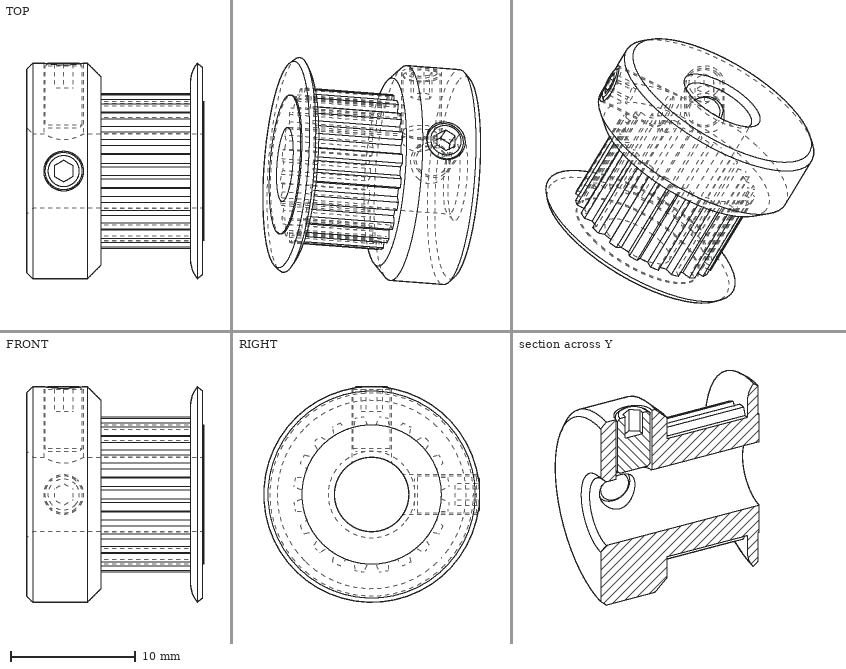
import cadquery as cq
import math

outer_radius = 8.7
total_length = 14.3

hub_length = 6.0
hub_outer_chamfer = 0.5
hub_inner_chamfer = 1.1

bore_radius = 3.0
bore_chamfer = 0.5

tooth_count = 20
tip_radius = 6.28
root_radius = 5.62
groove_mouth_width = 1.25
groove_floor_width = 0.7

flange_start = 13.2
flange_rim_x = 13.76
flange_end = 14.2
flange_flat_radius = 7.13
flange_back_radius = 8.35

screw_x = 3.0
screw_hole_radius = 1.6
screw_radius = 1.5
screw_length = 5.24
screw_chamfer = 0.25
hex_across_flats = 1.51
hex_depth = 2.0
screw_angles = (0, -90)


def make_pulley_blank():
    rise = outer_radius - flange_flat_radius
    sweep = flange_rim_x - flange_start
    arc_radius = (rise**2 + sweep**2) / (2 * sweep)
    half_angle = math.asin(rise / arc_radius) / 2
    arc_middle = (
        flange_start + arc_radius * (1 - math.cos(half_angle)),
        flange_flat_radius + arc_radius * math.sin(half_angle),
    )
    return (
        cq.Workplane("XY")
        .moveTo(bore_chamfer, bore_radius)
        .lineTo(0, bore_radius + bore_chamfer)
        .lineTo(0, outer_radius - hub_outer_chamfer)
        .lineTo(hub_outer_chamfer, outer_radius)
        .lineTo(hub_length - hub_inner_chamfer, outer_radius)
        .lineTo(hub_length, outer_radius - hub_inner_chamfer)
        .lineTo(hub_length, tip_radius)
        .lineTo(flange_start, tip_radius)
        .lineTo(flange_start, flange_flat_radius)
        .threePointArc(arc_middle, (flange_rim_x, outer_radius))
        .lineTo(flange_end, flange_back_radius)
        .lineTo(flange_end, root_radius)
        .lineTo(total_length, root_radius)
        .lineTo(total_length, bore_radius)
        .close()
        .revolve(360, (0, 0, 0), (1, 0, 0))
    )


def make_groove_cutter(length):
    mouth_half = groove_mouth_width / 2
    floor_half = groove_floor_width / 2
    mouth_y = math.sqrt(tip_radius**2 - mouth_half**2)
    floor_y = math.sqrt(root_radius**2 - floor_half**2)
    outer_y = 2 * mouth_y - floor_y
    outer_half = 2 * mouth_half - floor_half
    return (
        cq.Workplane("YZ", origin=(hub_length, 0, 0))
        .moveTo(-outer_y, -outer_half)
        .lineTo(-floor_y, -floor_half)
        .threePointArc((-root_radius, 0), (-floor_y, floor_half))
        .lineTo(-outer_y, outer_half)
        .close()
        .extrude(length)
    )


def make_pulley():
    pulley = make_pulley_blank()
    groove = make_groove_cutter(flange_start - hub_length)
    for tooth in range(tooth_count):
        pulley = pulley.cut(groove.rotate((0, 0, 0), (1, 0, 0), tooth * 360 / tooth_count))
    screw_hole = cq.Workplane("XY").center(screw_x, 0).circle(screw_hole_radius).extrude(2 * outer_radius)
    for angle in screw_angles:
        pulley = pulley.cut(screw_hole.rotate((0, 0, 0), (1, 0, 0), angle))
    return pulley


def make_set_screw(angle):
    hex_corner_diameter = hex_across_flats / math.cos(math.radians(30))
    socket = (
        cq.Workplane("XY", origin=(screw_x, 0, outer_radius))
        .transformed(rotate=(0, 0, 90))
        .polygon(6, hex_corner_diameter)
        .extrude(-hex_depth)
    )
    screw = (
        cq.Workplane("XY", origin=(screw_x, 0, outer_radius))
        .circle(screw_radius)
        .extrude(-screw_length)
        .faces("<Z or >Z")
        .chamfer(screw_chamfer)
        .cut(socket)
    )
    return screw.rotate((0, 0, 0), (1, 0, 0), angle)


pulley = make_pulley()
set_screws = [make_set_screw(angle).val() for angle in screw_angles]

result = cq.Compound.makeCompound([pulley.val(), *set_screws])